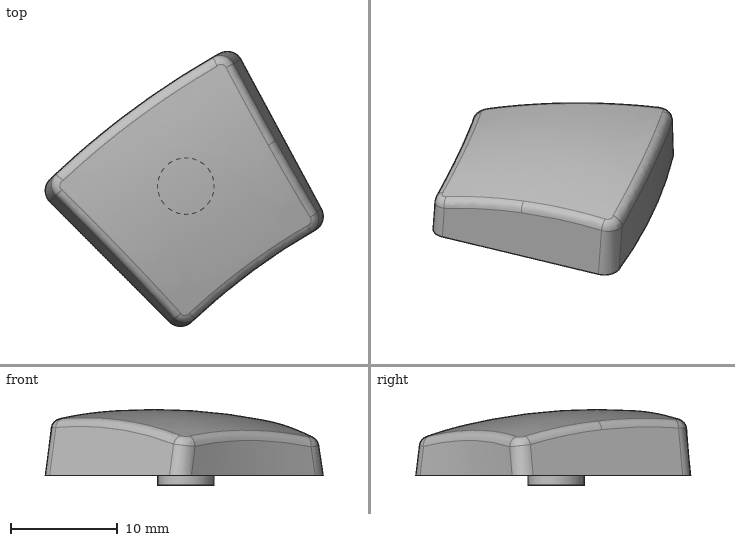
import cadquery as cq
import math

SECTOR_CENTER = (42.15, -56.1)
OUTER_RADIUS = 78.95
INNER_RADIUS = 60.1
WEST_END_ANGLE = 134.9
EAST_END_ANGLE = 118.3
END_DRAFT = 10.0

DOME_RADIUS = 53.13
DOME_HEIGHT = 6.21
DOME_PEAK = (-2.75, 4.07)

CORNER_FILLET = 1.45
TOP_FILLET = 1.0

PIN_DIAMETER = 5.3
PIN_LENGTH = 0.91
PIN_CENTER = (0.23, 0.23)

BLANK_MARGIN = 2.6
BLANK_HEIGHT = DOME_HEIGHT + BLANK_MARGIN
CUTTER_LENGTH = 2 * OUTER_RADIUS


def sector_point(radius, angle):
    """Plan position at a radius and angle about the sector centre."""
    turn = math.radians(angle)
    return (
        SECTOR_CENTER[0] + radius * math.cos(turn),
        SECTOR_CENTER[1] + radius * math.sin(turn),
    )


def make_sector():
    """Upright annular sector with vertical curved sides."""
    middle_angle = (WEST_END_ANGLE + EAST_END_ANGLE) / 2
    return (
        cq.Workplane("XY")
        .moveTo(*sector_point(INNER_RADIUS, WEST_END_ANGLE))
        .lineTo(*sector_point(OUTER_RADIUS, WEST_END_ANGLE))
        .threePointArc(
            sector_point(OUTER_RADIUS, middle_angle),
            sector_point(OUTER_RADIUS, EAST_END_ANGLE),
        )
        .lineTo(*sector_point(INNER_RADIUS, EAST_END_ANGLE))
        .threePointArc(
            sector_point(INNER_RADIUS, middle_angle),
            sector_point(INNER_RADIUS, WEST_END_ANGLE),
        )
        .close()
        .extrude(BLANK_HEIGHT)
    )


def make_draft_wedge(end_angle, side):
    """Wedge that leans one end inward; side is +1 for the west end, -1 for the east end."""
    lean = side * BLANK_HEIGHT * math.tan(math.radians(END_DRAFT))
    return (
        cq.Workplane("YZ")
        .polyline([(0, 0), (0, BLANK_HEIGHT), (-lean, BLANK_HEIGHT)])
        .close()
        .extrude(CUTTER_LENGTH)
        .rotate((0, 0, 0), (0, 0, 1), end_angle)
        .translate((*SECTOR_CENTER, 0))
    )


def make_dome():
    """Sphere whose upper cap forms the top of the body."""
    return cq.Workplane("XY").sphere(DOME_RADIUS).translate((*DOME_PEAK, DOME_HEIGHT - DOME_RADIUS))


def make_pin():
    """Round pin hanging below the flat underside."""
    return cq.Workplane("XY").center(*PIN_CENTER).circle(PIN_DIAMETER / 2).extrude(-PIN_LENGTH)


body = make_sector()
body = body.cut(make_draft_wedge(WEST_END_ANGLE, 1))
body = body.cut(make_draft_wedge(EAST_END_ANGLE, -1))

body = body.edges("not(<Z or >Z)").fillet(CORNER_FILLET)
body = body.intersect(make_dome())
body = body.faces("%SPHERE").edges().fillet(TOP_FILLET)

result = body.union(make_pin())